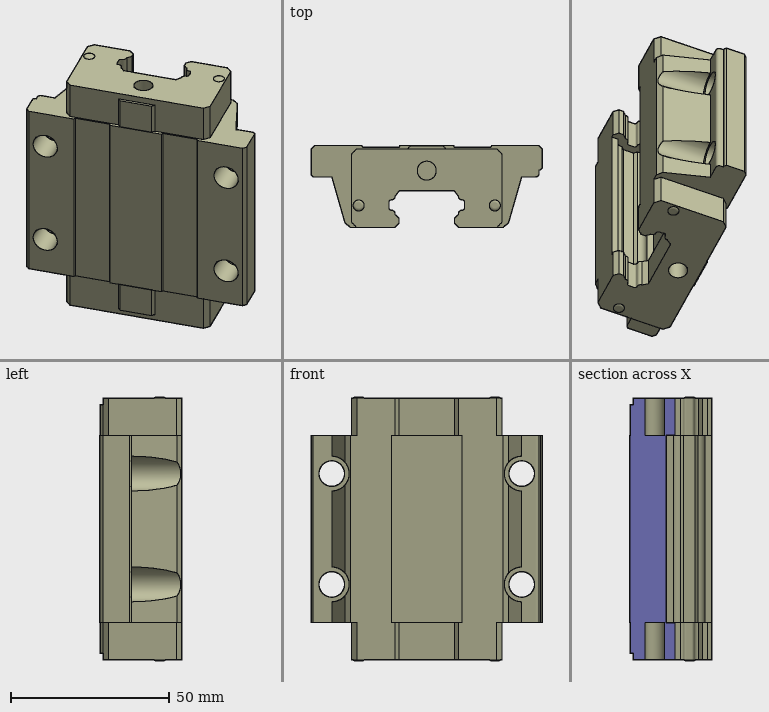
import cadquery as cq


width = 73.0
height = 26.0
body_length = 59.1
length_over_caps = 82.6
cap_length = (length_over_caps - body_length) / 2
top_y = height / 2
bottom_y = -height / 2

flange_x = width / 2
flange_bottom_y = top_y - 10.0
flange_chamfer = 1.1
flange_lower_chamfer = 0.6
web_top_x = 30.0
web_low_x = 25.85
web_low_y = bottom_y + 1.5
foot_x = 24.05

relief_x = flange_x - 1.0
relief_top_y = top_y - 7.2
relief_chamfer = 0.65
relief_round = 1.1

groove_inner_x = 8.5
groove_outer_x = 20.5
groove_depth = 0.6
groove_run_out = 0.3

race_mid_y = -5.85
body_throat_x = 11.1
body_roof_y = 1.35
race_wall_x = 14.3
race_wall_half = 1.75
race_groove_radius = 2.0
race_start_half = race_wall_half + race_wall_x - body_throat_x
race_groove_width_x = 2.25

hole_diameter = 8.0
spot_face_diameter = 11.0
hole_x = 30.0
hole_z = 17.5

cap_half_width = 23.8
cap_top_y = top_y - 1.1
cap_chamfer = 1.7
cap_lower_chamfer = 1.75

cap_throat_x = 8.7
cap_roof_y = -1.4
lip_x = 9.95
pocket_x = 11.9
pocket_half = 1.6
lip_round = 1.2
pocket_round = pocket_x - lip_x - lip_round
lip_land = 0.15
lip_start_half = pocket_half + lip_round
lip_low_y = race_mid_y - lip_start_half - lip_land
cap_throat_y = lip_low_y - (lip_x - cap_throat_x)
foot_slope = 1.4

strip_half_width = 5.2
strip_height = 0.9
strip_end_gap = 2.0

port_diameter = 6.0
port_y = 5.0
screw_x = 21.5
screw_y = -6.0
screw_diameter = 3.5
screw_height = 0.4
screw_flat_diameter = 1.9


def both_ends(shape):
    """Return the shape joined with its mirror image at the other end."""
    return shape.union(shape.mirror("XY"))


def both_sides(half):
    """Return the solid joined with its mirror image across X = 0."""
    return half.union(half.mirror("YZ"))


def body_blank():
    """Steel body with flanges, tapered web and the relieved +X reference edge."""
    return (
        cq.Workplane("XY")
        .workplane(offset=-body_length / 2)
        .moveTo(-foot_x, bottom_y)
        .lineTo(-web_low_x, web_low_y)
        .lineTo(-web_top_x, flange_bottom_y)
        .lineTo(-flange_x + flange_lower_chamfer, flange_bottom_y)
        .lineTo(-flange_x, flange_bottom_y + flange_lower_chamfer)
        .lineTo(-flange_x, top_y - flange_chamfer)
        .lineTo(-flange_x + flange_chamfer, top_y)
        .lineTo(flange_x - flange_chamfer, top_y)
        .lineTo(flange_x, top_y - flange_chamfer)
        .lineTo(flange_x, relief_top_y)
        .lineTo(flange_x - relief_chamfer, relief_top_y - relief_chamfer)
        .lineTo(relief_x, relief_top_y - relief_chamfer)
        .lineTo(relief_x, flange_bottom_y + relief_round)
        .radiusArc((relief_x - relief_round, flange_bottom_y), relief_round)
        .lineTo(web_top_x, flange_bottom_y)
        .lineTo(web_low_x, web_low_y)
        .lineTo(foot_x, bottom_y)
        .close()
        .extrude(body_length)
    )


def face_grooves():
    """Shallow grooves either side of the central mounting pad."""
    half = (
        cq.Workplane("XY")
        .workplane(offset=-body_length / 2)
        .moveTo(groove_inner_x, top_y)
        .lineTo(groove_outer_x, top_y)
        .lineTo(groove_outer_x - groove_run_out, top_y - groove_depth)
        .lineTo(groove_inner_x + groove_run_out, top_y - groove_depth)
        .close()
        .extrude(body_length)
    )
    return both_sides(half)


def body_opening():
    """Rail opening of the body with two 45-degree ball raceways on each side."""
    upper = race_mid_y + race_wall_half
    lower = race_mid_y - race_wall_half
    groove_x = body_throat_x + race_groove_width_x
    groove_half = race_start_half - race_groove_width_x
    half = (
        cq.Workplane("XY")
        .workplane(offset=-body_length / 2)
        .moveTo(0, body_roof_y)
        .lineTo(body_throat_x, body_roof_y)
        .lineTo(body_throat_x, race_mid_y + race_start_half)
        .radiusArc((groove_x, race_mid_y + groove_half), race_groove_radius)
        .lineTo(race_wall_x, upper)
        .lineTo(race_wall_x, lower)
        .lineTo(groove_x, race_mid_y - groove_half)
        .radiusArc((body_throat_x, race_mid_y - race_start_half), race_groove_radius)
        .lineTo(body_throat_x, bottom_y)
        .lineTo(0, bottom_y)
        .close()
        .extrude(body_length)
    )
    return both_sides(half)


def mounting_holes():
    """Four through holes, spot-faced on the underside of the flanges."""
    centres = [(x, z) for x in (-hole_x, hole_x) for z in (-hole_z, hole_z)]
    through = (
        cq.Workplane("XZ", origin=(0, top_y, 0))
        .pushPoints(centres)
        .circle(hole_diameter / 2)
        .extrude(height)
    )
    spot_faces = (
        cq.Workplane("XZ", origin=(0, flange_bottom_y, 0))
        .pushPoints(centres)
        .circle(spot_face_diameter / 2)
        .extrude(flange_bottom_y - bottom_y)
    )
    return through.union(spot_faces)


def cap_blank():
    """Chamfered end cap block at the +Z end."""
    return (
        cq.Workplane("XY")
        .workplane(offset=body_length / 2)
        .moveTo(-cap_half_width + cap_lower_chamfer, bottom_y)
        .lineTo(-cap_half_width, bottom_y + cap_lower_chamfer)
        .lineTo(-cap_half_width, cap_top_y - cap_chamfer)
        .lineTo(-cap_half_width + cap_chamfer, cap_top_y)
        .lineTo(cap_half_width - cap_chamfer, cap_top_y)
        .lineTo(cap_half_width, cap_top_y - cap_chamfer)
        .lineTo(cap_half_width, bottom_y + cap_lower_chamfer)
        .lineTo(cap_half_width - cap_lower_chamfer, bottom_y)
        .close()
        .extrude(cap_length)
    )


def cap_opening():
    """Closer-fitting rail opening of the end cap, following the rail's grooves."""
    step_upper = race_mid_y + pocket_half
    step_lower = race_mid_y - pocket_half
    half = (
        cq.Workplane("XY")
        .workplane(offset=body_length / 2)
        .moveTo(0, cap_roof_y)
        .lineTo(cap_throat_x, cap_roof_y)
        .lineTo(lip_x, race_mid_y + lip_start_half)
        .radiusArc((lip_x + lip_round, step_upper), -lip_round)
        .radiusArc((pocket_x, step_upper - pocket_round), pocket_round)
        .lineTo(pocket_x, step_lower + pocket_round)
        .radiusArc((pocket_x - pocket_round, step_lower), pocket_round)
        .radiusArc((lip_x, step_lower - lip_round), -lip_round)
        .lineTo(lip_x, lip_low_y)
        .lineTo(cap_throat_x, cap_throat_y)
        .lineTo(cap_throat_x, bottom_y + foot_slope)
        .lineTo(cap_throat_x + foot_slope, bottom_y)
        .lineTo(0, bottom_y)
        .close()
        .extrude(cap_length)
    )
    return both_sides(half)


def cap_strip():
    """Raised strip with sloping sides, running from the body towards the cap's outer end."""
    strip_length = cap_length - strip_end_gap
    return (
        cq.Workplane("XY")
        .workplane(offset=body_length / 2)
        .moveTo(-strip_half_width - strip_height, cap_top_y)
        .lineTo(-strip_half_width, cap_top_y + strip_height)
        .lineTo(strip_half_width, cap_top_y + strip_height)
        .lineTo(strip_half_width + strip_height, cap_top_y)
        .close()
        .extrude(strip_length)
    )


def screw_head(x):
    """Domed head whose flat top is joined to the cap face by a rounded flank."""
    flat_radius = screw_flat_diameter / 2
    flank_width = screw_diameter / 2 - flat_radius
    flank_radius = (flank_width**2 + screw_height**2) / (2 * screw_height)
    return (
        cq.Workplane("XZ")
        .lineTo(screw_diameter / 2, 0)
        .radiusArc((flat_radius, screw_height), -flank_radius)
        .lineTo(0, screw_height)
        .close()
        .revolve(360, (0, 0, 0), (0, 1, 0))
        .translate((x, screw_y, length_over_caps / 2))
    )


def end_cap():
    """Complete +Z end cap with grease port and two screw heads."""
    port = (
        cq.Workplane("XY")
        .workplane(offset=body_length / 2)
        .center(0, port_y)
        .circle(port_diameter / 2)
        .extrude(cap_length)
    )
    cap = cap_blank().union(cap_strip()).cut(cap_opening()).cut(port)
    for x in (-screw_x, screw_x):
        cap = cap.union(screw_head(x))
    return cap


body = body_blank().cut(face_grooves()).cut(body_opening()).cut(mounting_holes())
result = body.union(both_ends(end_cap()))